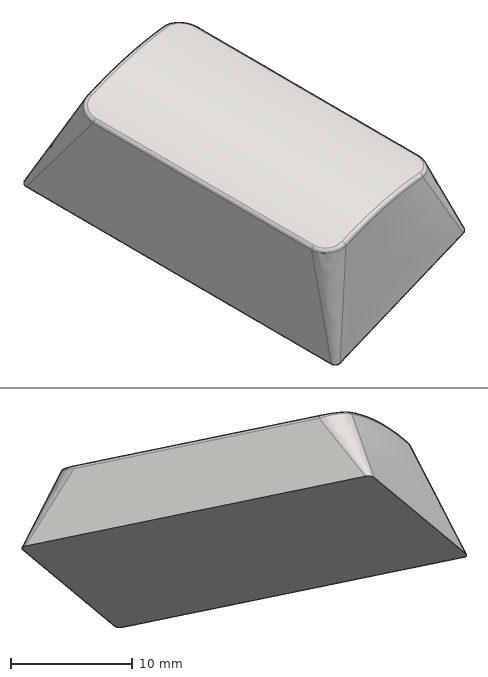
import cadquery as cq

base_length = 32.4
base_width = 18.1
base_corner_radius = 0.52

side_inset = 3.0
front_inset = 3.35
back_inset = 0.23
top_corner_radius = 2.07

height = 8.9
crown_y = -2.9
crown_radius = 29.8
top_edge_fillet = 0.42


def rounded_prism(length, width, corner_radius, center_y):
    """Upright prism from Z = 0 to the crown height, with rounded corners."""
    prism = cq.Workplane("XY").center(0, center_y).rect(length, width).extrude(height)
    return prism.edges("|Z").fillet(corner_radius)


def curved_top_face():
    """The top outline carried up onto the crown cylinder."""
    prism = rounded_prism(
        base_length - 2 * side_inset,
        base_width - front_inset - back_inset,
        top_corner_radius,
        (front_inset - back_inset) / 2,
    )
    crown = (
        cq.Workplane("YZ")
        .center(crown_y, height - crown_radius)
        .circle(crown_radius)
        .extrude(base_length, both=True)
    )
    return prism.intersect(crown).faces(">Z").val()


base_face = rounded_prism(base_length, base_width, base_corner_radius, 0).faces("<Z").val()
top_face = curved_top_face()
walls = cq.occ_impl.shapes.loft(base_face.outerWire(), top_face.outerWire(), ruled=True)
shell = cq.Shell.makeShell([base_face, top_face] + walls.Faces())
body = cq.Workplane(obj=cq.Solid.makeSolid(shell).fix())

rim = body.faces(cq.selectors.NearestToPointSelector((0, crown_y, height))).edges()
result = rim.fillet(top_edge_fillet)